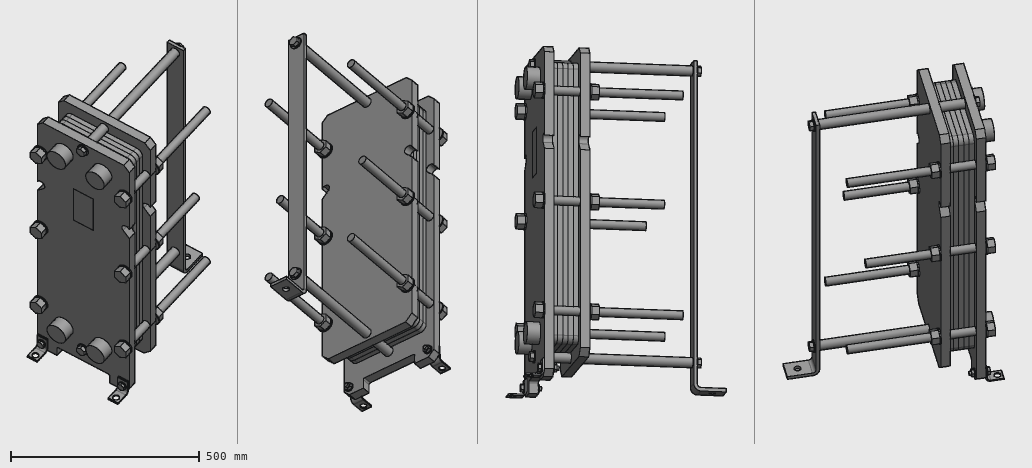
import cadquery as cq
import math


TOTAL_WIDTH = 317.0
TOTAL_HEIGHT = 896.0
MID_HEIGHT = 478.0

PLATE_WIDTH = 298.0
PLATE_THICKNESS = 26.0
TOP_CHAMFER = 18.0
FRAME_FOOT_CHAMFER = 18.0
PRESSURE_FOOT_CHAMFER = 21.0
PRESSURE_BOTTOM = 58.0
FOOT_GAP_WIDTH = 170.0
FOOT_GAP_HEIGHT = 33.0
FOOT_GAP_FILLET = 4.5

NOTCH_DEPTH = 24.0
NOTCH_TOP = 658.0
NOTCH_ROUND_RADIUS = 12.5
NOTCH_MOUTH_CHAMFER = 6.0

PACK_PLATES = 5
PACK_LENGTH = 71.0
PACK_WIDTH = 247.0
PACK_HEIGHT = 763.0
PACK_FILLET = 20.0

BOLT_DIAMETER = 24.0
BOLT_SPACING = 298.0
OUTER_BOLT_END = 374.5
MIDDLE_BOLT_END = 324.0
BOLT_WASHER_DIAMETER = 44.0
BOLT_WASHER_THICKNESS = 4.0
BOLT_HEX_CORNERS = 43.0
BOLT_HEX_HEIGHT = 21.5

BAR_DIAMETER = 28.0
BAR_OFFSET = 396.0
BAR_WASHER_DIAMETER = 34.0
BAR_WASHER_THICKNESS = 3.0
BAR_HEX_CORNERS = 28.0
BAR_HEX_HEIGHT = 11.0

PORT_DIAMETER = 60.0
PORT_LENGTH = 36.0
PORT_X = 63.0
PORT_OFFSET = 346.0

LABEL_WIDTH = 64.5
LABEL_HEIGHT = 124.5
LABEL_BOTTOM = 573.0
LABEL_THICKNESS = 0.2

COLUMN_FRONT = 425.0
COLUMN_THICKNESS = 10.0
COLUMN_WIDTH = 53.0
COLUMN_FOOT_END = 512.5
COLUMN_BEND_RADIUS = 20.0
COLUMN_HOLE_DIAMETER = 18.0
COLUMN_HOLE_SETBACK = 33.0

BRACKET_X = 131.0
BRACKET_WIDTH = 32.0
BRACKET_HEIGHT = 47.5
BRACKET_REACH = 50.0
BRACKET_THICKNESS = 4.5
BRACKET_BEND_RADIUS = 13.0
BRACKET_END_BEVEL = 2.0
BRACKET_HOLE_DIAMETER = 18.0
BRACKET_HOLE_SETBACK = 15.0
BRACKET_BOLT_Z = 24.0
BRACKET_BOLT_DIAMETER = 12.0
BRACKET_HEX_CORNERS = 22.0
BRACKET_HEX_HEIGHT = 7.0
BRACKET_WASHER_DIAMETER = 24.0
BRACKET_WASHER_THICKNESS = 3.0
BRACKET_BOLT_TIP = 6.0

PACK_FRONT = PLATE_THICKNESS
PRESSURE_FRONT = PACK_FRONT + PACK_LENGTH
PRESSURE_REAR = PRESSURE_FRONT + PLATE_THICKNESS
COLUMN_REAR = COLUMN_FRONT + COLUMN_THICKNESS
BAR_HEIGHTS = [MID_HEIGHT - BAR_OFFSET, MID_HEIGHT + BAR_OFFSET]
PORT_HEIGHTS = [MID_HEIGHT - PORT_OFFSET, MID_HEIGHT + PORT_OFFSET]
BOLT_X = (TOTAL_WIDTH - BOLT_WASHER_DIAMETER) / 2
BOLT_ROWS = [
    (MID_HEIGHT - BOLT_SPACING, OUTER_BOLT_END),
    (MID_HEIGHT, MIDDLE_BOLT_END),
    (MID_HEIGHT + BOLT_SPACING, OUTER_BOLT_END),
]
SIDES = (-1, 1)


def plane_at(y):
    """Upright workplane at depth y, facing -Y, so a negative extrusion runs toward +Y."""
    return cq.Workplane("XZ", origin=(0, y, 0))


def cylinder(x, z, diameter, y_start, y_end):
    return plane_at(y_start).center(x, z).circle(diameter / 2).extrude(y_start - y_end)


def hexagon(x, z, corners, y_start, y_end):
    """Hexagonal prism along Y with corners pointing up and down."""
    profile = plane_at(y_start).center(x, z).transformed(rotate=(0, 0, 90)).polygon(6, corners)
    return profile.extrude(y_start - y_end)


def fastener(x, z, face_y, direction, washer_diameter, washer_thickness, hex_corners, hex_height):
    """Washer and hexagon standing on the face at face_y, toward direction (-1 or 1) along Y."""
    washer_end = face_y + direction * washer_thickness
    hex_end = washer_end + direction * hex_height
    washer = cylinder(x, z, washer_diameter, face_y, washer_end)
    return washer.union(hexagon(x, z, hex_corners, washer_end, hex_end))


def notch_cutter(side, y_start, y_end):
    """Side notch with a flat top, a round inner end and a 45 degree ramp down to the plate edge."""
    edge = side * PLATE_WIDTH / 2
    inner = edge - side * NOTCH_DEPTH
    round_x = inner + side * NOTCH_ROUND_RADIUS
    round_z = NOTCH_TOP - NOTCH_ROUND_RADIUS
    diagonal = NOTCH_ROUND_RADIUS * math.sqrt(0.5)
    ramp_x = round_x - side * diagonal
    ramp_z = round_z - diagonal
    return (
        plane_at(y_start)
        .moveTo(edge, NOTCH_TOP - NOTCH_MOUTH_CHAMFER)
        .lineTo(edge - side * NOTCH_MOUTH_CHAMFER, NOTCH_TOP)
        .lineTo(round_x, NOTCH_TOP)
        .threePointArc((inner, round_z), (ramp_x, ramp_z))
        .lineTo(edge, ramp_z - abs(edge - ramp_x))
        .close()
        .extrude(y_start - y_end)
    )


def notched_plate(y_start, bottom, foot_chamfer):
    """Chamfered plate from the given bottom to the full height, with both lifting notches."""
    half = PLATE_WIDTH / 2
    y_end = y_start + PLATE_THICKNESS
    plate = (
        plane_at(y_start)
        .polyline([
            (-half + foot_chamfer, bottom),
            (half - foot_chamfer, bottom),
            (half, bottom + foot_chamfer),
            (half, TOTAL_HEIGHT - TOP_CHAMFER),
            (half - TOP_CHAMFER, TOTAL_HEIGHT),
            (-half + TOP_CHAMFER, TOTAL_HEIGHT),
            (-half, TOTAL_HEIGHT - TOP_CHAMFER),
            (-half, bottom + foot_chamfer),
        ])
        .close()
        .extrude(-PLATE_THICKNESS)
    )
    for side in SIDES:
        plate = plate.cut(notch_cutter(side, y_start, y_end))
    return plate


def frame_plate():
    plate = notched_plate(0, 0, FRAME_FOOT_CHAMFER)
    foot_gap = (
        cq.Workplane("XY")
        .box(FOOT_GAP_WIDTH, PLATE_THICKNESS, FOOT_GAP_HEIGHT, centered=(True, False, False))
        .edges("|Y and >Z")
        .fillet(FOOT_GAP_FILLET)
    )
    return plate.cut(foot_gap)


def ports():
    stubs = cq.Workplane()
    for z in PORT_HEIGHTS:
        for side in SIDES:
            stubs = stubs.add(cylinder(side * PORT_X, z, PORT_DIAMETER, 0, -PORT_LENGTH))
    return stubs.combine()


def name_plate():
    return (
        plane_at(0)
        .center(0, LABEL_BOTTOM + LABEL_HEIGHT / 2)
        .rect(LABEL_WIDTH, LABEL_HEIGHT)
        .extrude(LABEL_THICKNESS)
    )


def tightening_bolt(x, z, rear_end):
    """Bolt with its head on the frame plate and its nut behind the pressure plate."""
    sizes = (BOLT_WASHER_DIAMETER, BOLT_WASHER_THICKNESS, BOLT_HEX_CORNERS, BOLT_HEX_HEIGHT)
    shank = cylinder(x, z, BOLT_DIAMETER, 0, rear_end)
    head = fastener(x, z, 0, -1, *sizes)
    nut = fastener(x, z, PRESSURE_REAR, 1, *sizes)
    return shank.union(head).union(nut)


def bar(z):
    """Bar from the frame plate to the support column, with a fastener at each end."""
    sizes = (BAR_WASHER_DIAMETER, BAR_WASHER_THICKNESS, BAR_HEX_CORNERS, BAR_HEX_HEIGHT)
    rod = cylinder(0, z, BAR_DIAMETER, 0, COLUMN_REAR)
    return rod.union(fastener(0, z, 0, -1, *sizes)).union(fastener(0, z, COLUMN_REAR, 1, *sizes))


def bent_strip(x, back_y, foot_end, height, width, thickness, bend_radius):
    """L-shaped strip: an upright with its back at back_y and a floor foot reaching to foot_end."""
    direction = math.copysign(1, foot_end - back_y)
    front_y = back_y + direction * thickness
    outer_bend = cq.selectors.NearestToPointSelector((x, back_y, 0))
    inner_bend = cq.selectors.NearestToPointSelector((x, front_y, thickness))
    return (
        cq.Workplane("YZ", origin=(x - width / 2, 0, 0))
        .polyline([
            (back_y, 0),
            (foot_end, 0),
            (foot_end, thickness),
            (front_y, thickness),
            (front_y, height),
            (back_y, height),
        ])
        .close()
        .extrude(width)
        .edges(outer_bend)
        .fillet(bend_radius)
        .edges(inner_bend)
        .fillet(bend_radius - thickness)
    )


def floor_hole(x, y, diameter, depth):
    return cq.Workplane("XY").center(x, y).circle(diameter / 2).extrude(depth)


def support_column():
    """Upright strip bent rearward into a foot at the floor."""
    strip = bent_strip(
        0, COLUMN_FRONT, COLUMN_FOOT_END, TOTAL_HEIGHT, COLUMN_WIDTH, COLUMN_THICKNESS, COLUMN_BEND_RADIUS
    )
    hole_y = COLUMN_FOOT_END - COLUMN_HOLE_SETBACK
    return strip.cut(floor_hole(0, hole_y, COLUMN_HOLE_DIAMETER, COLUMN_THICKNESS))


def floor_bracket(x):
    """Angle bracket on the front of the frame plate, with beveled ends and bolted through the plate."""
    angle = bent_strip(
        x, 0, -BRACKET_REACH, BRACKET_HEIGHT, BRACKET_WIDTH, BRACKET_THICKNESS, BRACKET_BEND_RADIUS
    )
    upright_end = cq.selectors.NearestToPointSelector((x, -BRACKET_THICKNESS, BRACKET_HEIGHT))
    foot_end = cq.selectors.NearestToPointSelector((x, -BRACKET_REACH, BRACKET_THICKNESS))
    angle = angle.edges(upright_end).chamfer(BRACKET_END_BEVEL)
    angle = angle.edges(foot_end).chamfer(BRACKET_END_BEVEL)
    hole_y = -BRACKET_REACH + BRACKET_HOLE_SETBACK
    angle = angle.cut(floor_hole(x, hole_y, BRACKET_HOLE_DIAMETER, BRACKET_THICKNESS))
    sizes = (BRACKET_WASHER_DIAMETER, BRACKET_WASHER_THICKNESS, BRACKET_HEX_CORNERS, BRACKET_HEX_HEIGHT)
    head = fastener(x, BRACKET_BOLT_Z, -BRACKET_THICKNESS, -1, *sizes)
    nut = fastener(x, BRACKET_BOLT_Z, PLATE_THICKNESS, 1, *sizes)
    nut_end = PLATE_THICKNESS + BRACKET_WASHER_THICKNESS + BRACKET_HEX_HEIGHT
    tip = cylinder(x, BRACKET_BOLT_Z, BRACKET_BOLT_DIAMETER, nut_end, nut_end + BRACKET_BOLT_TIP)
    return angle.union(head).union(nut).union(tip)


def frame_body():
    """Frame plate with everything fixed to it: ports, bolts, bars, column and brackets."""
    frame = frame_plate().union(ports()).union(name_plate())
    for z, rear_end in BOLT_ROWS:
        for side in SIDES:
            frame = frame.union(tightening_bolt(side * BOLT_X, z, rear_end))
    for z in BAR_HEIGHTS:
        frame = frame.union(bar(z))
    for side in SIDES:
        frame = frame.union(floor_bracket(side * BRACKET_X))
    return frame.union(support_column())


def pressure_plate_body():
    """Movable rear plate with clearance-free holes for the bolts and bars."""
    plate = notched_plate(PRESSURE_FRONT, PRESSURE_BOTTOM, PRESSURE_FOOT_CHAMFER)
    for z, _ in BOLT_ROWS:
        for side in SIDES:
            plate = plate.cut(cylinder(side * BOLT_X, z, BOLT_DIAMETER, PRESSURE_FRONT, PRESSURE_REAR))
    for z in BAR_HEIGHTS:
        plate = plate.cut(cylinder(0, z, BAR_DIAMETER, PRESSURE_FRONT, PRESSURE_REAR))
    return plate


def pack_plate(index):
    thickness = PACK_LENGTH / PACK_PLATES
    return (
        plane_at(PACK_FRONT + index * thickness)
        .center(0, MID_HEIGHT)
        .rect(PACK_WIDTH, PACK_HEIGHT)
        .extrude(-thickness)
        .edges("|Y")
        .fillet(PACK_FILLET)
    )


frame = frame_body()
pressure_plate = pressure_plate_body()
pack_plates = [pack_plate(index) for index in range(PACK_PLATES)]

result = cq.Compound.makeCompound([
    frame.val(),
    pressure_plate.val(),
    *[plate.val() for plate in pack_plates],
])